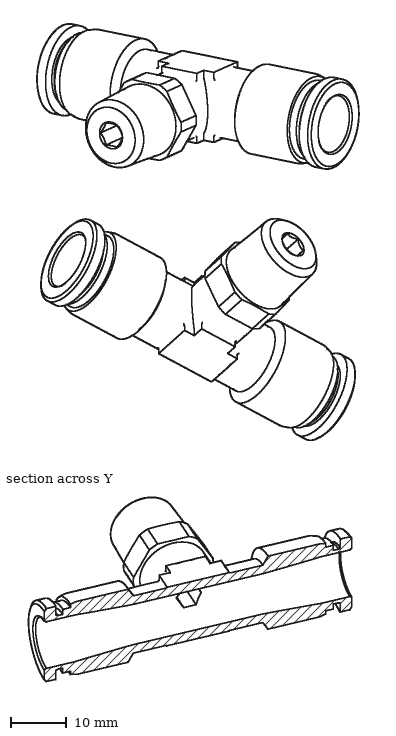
import cadquery as cq
import math

run_half_length = 29.6
tube_radius = 6.45
socket_radius = 8.2
socket_inner_end = 17.15
socket_inner_shoulder = 16.15
socket_outer_shoulder = 6.15
socket_outer_end = 5.05
socket_lip_radius = 7.9
sleeve_radius = 7.15
sleeve_end = 3.55
neck_radius = 6.05
neck_root_radius = 6.2
neck_root_end = 2.6
flange_width = 2.25
flange_chamfer_width = 0.4
flange_face_radius = 7.65

mouth_radius = 5.45
collet_bore_radius = 5.15
mouth_depth = 0.4
collet_depth = 5.9
through_radius = 4.45

branch_length = 36.0 - socket_radius
nut_start = 11.95
nut_end = 16.95
nut_across_flats = 14.15
nut_turned_radius = 7.7
nut_face_radius = 6.85
nut_chamfer_length = 0.2
thread_root_radius = 6.7
thread_tip_radius = 6.3
tip_chamfer_start = 26.65
tip_face_radius = 5.2

key_across_flats = 4.15
key_mouth_radius = 2.5

pad_top = 6.6
pad_base = 4.6
pad_half_width = 6.0
pad_stem_half_width = 3.8
pad_back = 3.8
pad_shoulder = -3.8
pad_front = -6.0
pad_base_fillet = 0.3
edge_margin = 0.03


def hexagon_along_branch(across_flats, start, end):
    """Hexagonal bar along -Y with two flats facing +Z and -Z."""
    corner_diameter = across_flats / math.cos(math.pi / 6)
    return (
        cq.Workplane("XZ", origin=(0, -start, 0))
        .polygon(6, corner_diameter)
        .extrude(end - start)
    )


def run_half_body():
    """Outside of the -X half of the run, turned about X."""
    steps = [
        (0, 0),
        (0, flange_face_radius),
        (flange_chamfer_width, socket_radius),
        (flange_width, socket_radius),
        (flange_width, neck_root_radius),
        (neck_root_end, neck_radius),
        (sleeve_end, neck_radius),
        (sleeve_end, sleeve_radius),
        (socket_outer_end, sleeve_radius),
        (socket_outer_end, socket_lip_radius),
        (socket_outer_shoulder, socket_radius),
        (socket_inner_shoulder, socket_radius),
        (socket_inner_end, tube_radius),
        (run_half_length, tube_radius),
        (run_half_length, 0),
    ]
    return turned_about_run(steps)


def run_half_bore():
    """Bore of the -X half of the run: mouth, collet, taper and through bore."""
    steps = [
        (0, 0),
        (0, mouth_radius),
        (mouth_depth, collet_bore_radius),
        (collet_depth, collet_bore_radius),
        (socket_inner_end, through_radius),
        (run_half_length, through_radius),
        (run_half_length, 0),
    ]
    return turned_about_run(steps)


def turned_about_run(steps):
    """Turn (distance from the open end, radius) steps about the X axis."""
    outline = [(distance - run_half_length, radius) for distance, radius in steps]
    return cq.Workplane("XY").polyline(outline).close().revolve(360, (0, 0), (1, 0))


def turned_about_branch(steps):
    """Turn (distance from the run axis, radius) steps about the Y axis."""
    outline = [(radius, -distance) for distance, radius in steps]
    return cq.Workplane("XY").polyline(outline).close().revolve(360, (0, 0), (0, 1))


def with_mirror(half, plane):
    return half.union(half.mirror(plane))


def branch_body():
    stem = cq.Workplane("XZ").circle(tube_radius).extrude(nut_end)
    nut_turning = turned_about_branch([
        (nut_start, 0),
        (nut_start, nut_turned_radius),
        (nut_end - nut_chamfer_length, nut_turned_radius),
        (nut_end, nut_face_radius),
        (nut_end, 0),
    ])
    nut = hexagon_along_branch(nut_across_flats, nut_start, nut_end).intersect(nut_turning)
    thread = turned_about_branch([
        (nut_end, 0),
        (nut_end, thread_root_radius),
        (tip_chamfer_start, thread_tip_radius),
        (branch_length, tip_face_radius),
        (branch_length, 0),
    ])
    return stem.union(nut).union(thread)


def branch_passage():
    """Hexagonal passage from the tip into the run, with a countersunk mouth."""
    passage = hexagon_along_branch(key_across_flats, 0, branch_length)
    countersink = turned_about_branch([
        (branch_length, 0),
        (branch_length, key_mouth_radius),
        (branch_length - key_mouth_radius, 0),
    ])
    return passage.union(countersink)


def upper_pad():
    outline = [
        (-pad_half_width, pad_back),
        (pad_half_width, pad_back),
        (pad_half_width, pad_shoulder),
        (pad_stem_half_width, pad_shoulder),
        (pad_stem_half_width, pad_front),
        (-pad_stem_half_width, pad_front),
        (-pad_stem_half_width, pad_shoulder),
        (-pad_half_width, pad_shoulder),
    ]
    return (
        cq.Workplane("XY", origin=(0, 0, pad_base))
        .polyline(outline)
        .close()
        .extrude(pad_top - pad_base)
    )


def pad_base_edges(body):
    """Edges where the walls of the upper pad meet the round tubes."""
    zone = cq.selectors.BoxSelector(
        (-pad_half_width - edge_margin, pad_front - edge_margin, pad_base),
        (pad_half_width + edge_margin, pad_back + edge_margin, pad_top - edge_margin),
    )
    return body.edges(zone).edges("not |Z")


solid_tee = (
    with_mirror(run_half_body(), "YZ")
    .union(branch_body())
    .union(with_mirror(upper_pad(), "XY"))
)
filleted_tee = pad_base_edges(solid_tee).fillet(pad_base_fillet)
filleted_tee = pad_base_edges(filleted_tee.mirror("XY")).fillet(pad_base_fillet)
result = filleted_tee.cut(with_mirror(run_half_bore(), "YZ")).cut(branch_passage())